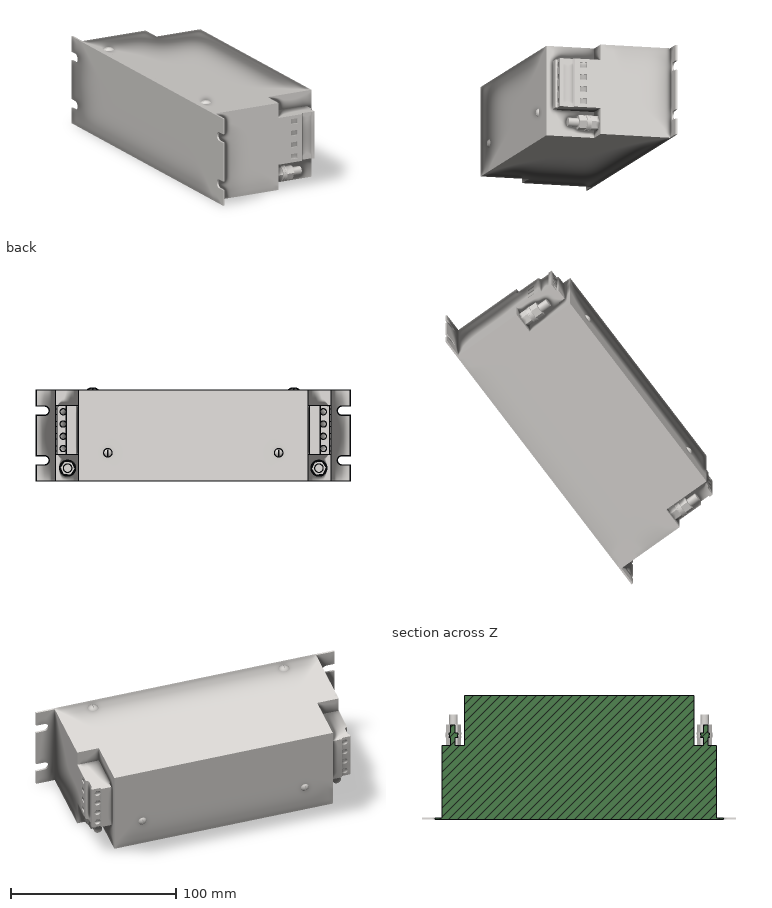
import cadquery as cq
import math

PLATE_LENGTH = 190.0
PLATE_THICKNESS = 1.1
HEIGHT = 55.1
SLOT_WIDTH = 5.5
SLOT_DEPTH = 7.8
SLOT_SPACING = 30.0
LOWER_SLOT_Z = (HEIGHT - SLOT_SPACING) / 2

HOUSING_HALF_LENGTH = 83.2
HOUSING_DEPTH = 75.0
NOTCH_X = 69.5
NOTCH_Y = 44.8

POLES = 4
POLE_PITCH = 7.5
BLOCK_BOTTOM = 16.0
BLOCK_HEIGHT = POLES * POLE_PITCH
BLOCK_REAR_Y = 71.5
STEP_TOP_X = 76.5
STEP_FOOT_X = 77.0
STEP_Y = 70.3
LIP_X = 82.3
LIP_Y = 68.0
GROOVE_X = 81.5
GROOVE_Y = 62.1
GROOVE_BOTTOM_Y = 61.0
GAP_X = 70.3
GAP_Y = 67.3
WINDOW_Y = 55.7
WINDOW_LENGTH = 4.5
WINDOW_WIDTH = 3.2
WINDOW_DEPTH = 1.1
SCREW_HOLE_X = 78.7
SCREW_HOLE_DIAMETER = 3.8
SCREW_HOLE_DEPTH = 3.8

STUD_X = 76.0
STUD_Z = 7.8
STUD_DIAMETER = 5.1
STUD_END_Y = 63.5
NUT_ACROSS_FLATS = 8.0
NUT_TURN = 5.0
NUT_HEIGHT = 4.8
WASHER_DIAMETER = 9.7
LOCK_WASHER_DIAMETER = 9.3
THIN_WASHER = 0.5
LOCK_WASHER = 1.1
FLAT_WASHER = 1.1

TOP_SCREW_X = 60.8
TOP_SCREW_Y = 7.0
TOP_SCREW_DIAMETER = 6.6
REAR_SCREW_X = 51.7
REAR_SCREW_Z = 17.1
REAR_SCREW_DIAMETER = 5.1
HEAD_HEIGHT = 1.3
DRIVE_WIDTH = 0.4
DRIVE_DEPTH = 0.5


def mirrored_pair(shape):
    """The shape joined with its mirror image across X = 0."""
    return shape.union(shape.mirror("YZ"))


def plate():
    body = cq.Workplane("XY").box(
        PLATE_LENGTH, PLATE_THICKNESS, HEIGHT, centered=(True, False, False)
    )
    for side in (-1, 1):
        for slot_z in (LOWER_SLOT_Z, LOWER_SLOT_Z + SLOT_SPACING):
            slot = (
                cq.Workplane("XZ")
                .center(side * PLATE_LENGTH / 2, slot_z)
                .slot2D(2 * SLOT_DEPTH, SLOT_WIDTH)
                .extrude(-PLATE_THICKNESS)
            )
            body = body.cut(slot)
    return body


def housing():
    return (
        cq.Workplane("XY")
        .moveTo(-HOUSING_HALF_LENGTH, PLATE_THICKNESS)
        .lineTo(HOUSING_HALF_LENGTH, PLATE_THICKNESS)
        .lineTo(HOUSING_HALF_LENGTH, NOTCH_Y)
        .lineTo(NOTCH_X, NOTCH_Y)
        .lineTo(NOTCH_X, HOUSING_DEPTH)
        .lineTo(-NOTCH_X, HOUSING_DEPTH)
        .lineTo(-NOTCH_X, NOTCH_Y)
        .lineTo(-HOUSING_HALF_LENGTH, NOTCH_Y)
        .close()
        .extrude(HEIGHT)
    )


def terminal_block():
    """The block at -X, flush with the end of the housing.

    Each pole has a shallow window in its end face and a screw hole that nicks the foot of the step.
    """
    block = (
        cq.Workplane("XY", origin=(0, 0, BLOCK_BOTTOM))
        .moveTo(-NOTCH_X, NOTCH_Y)
        .lineTo(-HOUSING_HALF_LENGTH, NOTCH_Y)
        .lineTo(-HOUSING_HALF_LENGTH, GROOVE_BOTTOM_Y)
        .lineTo(-GROOVE_X, GROOVE_Y)
        .lineTo(-GROOVE_X, LIP_Y)
        .lineTo(-LIP_X, LIP_Y)
        .lineTo(-LIP_X, STEP_Y)
        .lineTo(-STEP_FOOT_X, STEP_Y)
        .lineTo(-STEP_TOP_X, BLOCK_REAR_Y)
        .lineTo(-GAP_X, BLOCK_REAR_Y)
        .lineTo(-GAP_X, GAP_Y)
        .lineTo(-NOTCH_X, GAP_Y)
        .close()
        .extrude(BLOCK_HEIGHT)
    )
    for pole in range(POLES):
        pole_z = BLOCK_BOTTOM + (pole + 0.5) * POLE_PITCH
        window = cq.Workplane("XY").box(2 * WINDOW_DEPTH, WINDOW_LENGTH, WINDOW_WIDTH)
        block = block.cut(window.translate((-HOUSING_HALF_LENGTH, WINDOW_Y, pole_z)))
        screw_hole = (
            cq.Workplane("XZ", origin=(-SCREW_HOLE_X, BLOCK_REAR_Y, pole_z))
            .circle(SCREW_HOLE_DIAMETER / 2)
            .extrude(BLOCK_REAR_Y - STEP_Y + SCREW_HOLE_DEPTH)
        )
        block = block.cut(screw_hole)
    return block


def earth_stud():
    """The stud at -X with a nut, three washers and a second nut, from the notch floor outwards."""
    thin_washer_y = NOTCH_Y + NUT_HEIGHT
    lock_washer_y = thin_washer_y + THIN_WASHER
    flat_washer_y = lock_washer_y + LOCK_WASHER
    outer_nut_y = flat_washer_y + FLAT_WASHER
    across_corners = NUT_ACROSS_FLATS / math.cos(math.radians(30))

    def level(y):
        return cq.Workplane("XZ", origin=(-STUD_X, y, STUD_Z))

    nut = level(0).polygon(6, across_corners).extrude(-NUT_HEIGHT)
    nut = nut.rotate((-STUD_X, 0, STUD_Z), (-STUD_X, 1, STUD_Z), NUT_TURN)

    def disc(y, diameter, thickness):
        return level(y).circle(diameter / 2).extrude(-thickness)

    return (
        disc(NOTCH_Y, STUD_DIAMETER, STUD_END_Y - NOTCH_Y)
        .union(nut.translate((0, NOTCH_Y, 0)))
        .union(disc(thin_washer_y, WASHER_DIAMETER, THIN_WASHER))
        .union(disc(lock_washer_y, LOCK_WASHER_DIAMETER, LOCK_WASHER))
        .union(disc(flat_washer_y, WASHER_DIAMETER, FLAT_WASHER))
        .union(nut.translate((0, outer_nut_y, 0)))
    )


def screw_head(diameter):
    """A dome standing on Z = 0 with its driver slot along Y."""
    radius = diameter / 2
    rise = HEAD_HEIGHT
    ball_radius = (radius**2 + rise**2) / (2 * rise)
    ball = cq.Workplane("XY").sphere(ball_radius).translate((0, 0, rise - ball_radius))
    disc = cq.Workplane("XY").circle(radius).extrude(rise)
    drive = cq.Workplane("XY").box(DRIVE_WIDTH, diameter, 2 * DRIVE_DEPTH)
    return disc.intersect(ball).cut(drive.translate((0, 0, rise)))


top_screw = screw_head(TOP_SCREW_DIAMETER).translate((-TOP_SCREW_X, TOP_SCREW_Y, HEIGHT))
rear_screw = (
    screw_head(REAR_SCREW_DIAMETER)
    .rotate((0, 0, 0), (1, 0, 0), -90)
    .translate((-REAR_SCREW_X, HOUSING_DEPTH, REAR_SCREW_Z))
)

result = plate().union(housing())
for detail in (terminal_block(), earth_stud(), top_screw, rear_screw):
    result = result.union(mirrored_pair(detail))